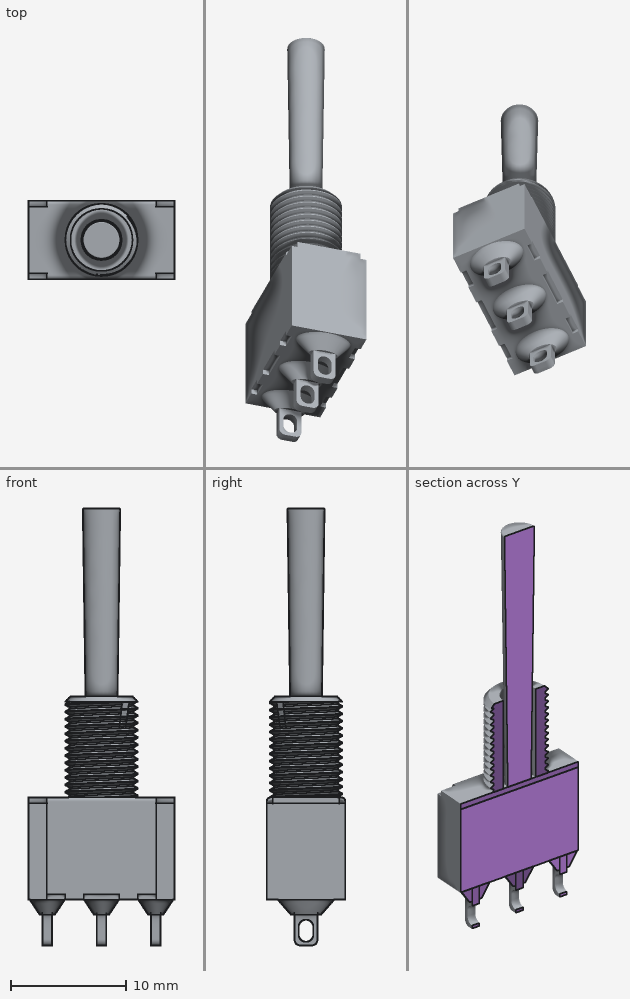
import cadquery as cq
import math


overall_height = 38.0

body_length = 12.7
body_width = 6.85
body_height = 8.9
sheet = 0.55
fold_radius = 0.35
flap_length = 9.5
notch_height = 0.45
notch_length = 3.1
base_top = body_height - sheet
core_width = body_width - 2 * sheet

terminal_pitch = 4.7
terminal_xs = [-terminal_pitch, 0.0, terminal_pitch]
terminal_length = 4.0
terminal_thickness = 0.85
terminal_width = 2.0
lug_corner_radius = 0.55
eye_width = 1.25
eye_height = 1.9
eye_tip_wall = 0.35
seal_height = 1.3
seal_top_length = 4.9
seal_top_width = 3.05
seal_tip_length = 2.62
seal_tip_width = 1.33

bushing_top = 17.67
crest_diameter = 6.27
root_diameter = 5.6
bore_diameter = 3.5
rim_top_diameter = 5.4
rim_chamfer_height = 0.45
rim_bottom = bushing_top - rim_chamfer_height
thread_start = 8.4
thread_turns = 15
thread_rise = 9.5
crest_flat = 0.08
flank_angle = 30.0
root_overlap = 0.08

lever_top = overall_height - terminal_length
lever_tip_diameter = 3.25
lever_neck_diameter = 2.8
lever_edge_radius = 0.15


def box(length, width, height, x=0.0, y=0.0, z=0.0):
    """A box centred on x and y with its underside at z."""
    return cq.Workplane("XY").box(length, width, height, centered=(True, True, False)).translate((x, y, z))


def make_base():
    """Block with a recess in each long side for the cover flaps."""
    base = box(body_length, body_width, base_top)
    for side in (-1, 1):
        base = base.cut(box(flap_length, sheet, base_top, y=side * (body_width - sheet) / 2))
    return base


def make_cover():
    """Top plate with a flap folded down over each long side, notched at the terminals."""
    saddle = box(flap_length, body_width, body_height).edges("|X and >Z").fillet(fold_radius)
    cover = saddle.union(box(body_length, core_width, sheet, z=base_top))
    cover = cover.cut(box(body_length, core_width, base_top))
    for x in terminal_xs:
        cover = cover.cut(box(notch_length, body_width, notch_height, x=x))
    return cover


def make_seal(x):
    """Tapered elliptical potting around one terminal, with a slot for the terminal."""
    seal = (
        cq.Workplane("XY").center(x, 0)
        .ellipse(seal_top_width / 2, seal_top_length / 2)
        .workplane(offset=-seal_height)
        .ellipse(seal_tip_width / 2, seal_tip_length / 2)
        .loft(ruled=True)
    )
    return seal.cut(box(terminal_thickness, terminal_width, seal_height, x=x, z=-seal_height))


def make_terminal(x):
    """Solder lug with rounded tip corners and an oblong eye."""
    lug = box(terminal_thickness, terminal_width, terminal_length, x=x, z=-terminal_length)
    lug = lug.edges("|X and <Z").fillet(lug_corner_radius)
    eye_z = eye_tip_wall + eye_height / 2 - terminal_length
    eye = (
        cq.Workplane("YZ").center(0, eye_z)
        .slot2D(eye_height, eye_width, 90)
        .extrude(terminal_thickness / 2, both=True)
    )
    return lug.cut(eye.translate((x, 0, 0)))


def make_thread_ridge():
    """Helical 60-degree ridge, sunk slightly into the core."""
    inner_radius = root_diameter / 2 - root_overlap
    crest_radius = crest_diameter / 2
    half_crest = crest_flat / 2
    half_foot = half_crest + (crest_radius - inner_radius) * math.tan(math.radians(flank_angle))
    helix = cq.Wire.makeHelix(thread_rise / thread_turns, thread_rise, inner_radius)
    profile = cq.Workplane("XZ").polyline([
        (inner_radius, -half_foot),
        (crest_radius, -half_crest),
        (crest_radius, half_crest),
        (inner_radius, half_foot),
    ]).close()
    return profile.sweep(cq.Workplane(obj=helix), isFrenet=True).translate((0, 0, thread_start))


def make_bushing():
    """Threaded tube with a chamfered rim, standing on the cover."""
    bore_radius = bore_diameter / 2
    crest_radius = crest_diameter / 2
    root_radius = root_diameter / 2
    tube = cq.Workplane("XZ").polyline([
        (bore_radius, body_height),
        (root_radius, body_height),
        (root_radius, rim_bottom),
        (crest_radius, rim_bottom),
        (rim_top_diameter / 2, bushing_top),
        (bore_radius, bushing_top),
    ]).close().revolve(360, (0, 0, 0), (0, 1, 0))
    threaded_zone = box(body_length, body_length, rim_bottom - body_height, z=body_height)
    return tube.union(make_thread_ridge().intersect(threaded_zone))


def make_lever():
    """Tapered round lever standing in the bore, with a softened tip edge."""
    flared_radius = lever_tip_diameter / 2
    neck_radius = lever_neck_diameter / 2
    flare = (flared_radius - neck_radius) / (lever_top - bushing_top)
    foot_radius = neck_radius - flare * (bushing_top - body_height)
    lever = (
        cq.Workplane("XY").workplane(offset=body_height).circle(foot_radius)
        .workplane(offset=lever_top - body_height).circle(flared_radius)
        .loft(ruled=True)
    )
    return lever.faces(">Z").edges().fillet(lever_edge_radius)


base = make_base()
cover = make_cover()
bushing = make_bushing()
lever = make_lever()
terminals = [make_terminal(x) for x in terminal_xs]
seals = [make_seal(x) for x in terminal_xs]

result = cq.Compound.makeCompound([
    base.val(),
    cover.val(),
    bushing.val(),
    lever.val(),
    *[terminal.val() for terminal in terminals],
    *[seal.val() for seal in seals],
])